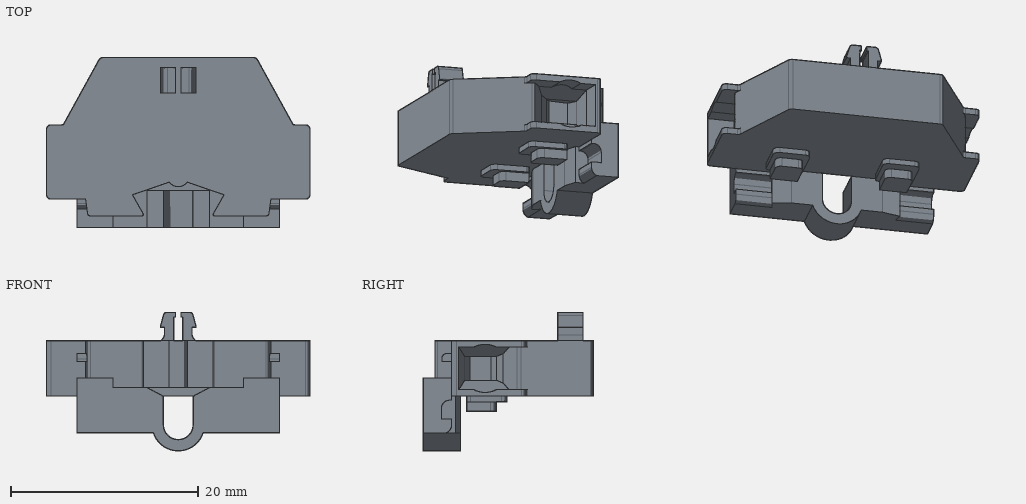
import cadquery as cq
import math


half_length = 14.1
housing_height = 5.95
rear_y = 18.2
rear_half_width = 8.34
shoulder_half_width = 12.3
shoulder_y = 11.0
end_front_y = 3.05
nose_root_half_width = 9.9
nose_tip_half_width = 9.66
nose_y = 1.27
corner_radius = 0.5
inner_corner_radius = 0.3
nose_tip_radius = 0.15

dovetail_mouth_half_width = 3.62
dovetail_half_width = 4.9
dovetail_y = 3.52
crest_half_width = 0.97
crest_y = 4.87
crest_bulge_y = 4.39
dovetail_floor_z = 0.93

mid_z = housing_height / 2
entry_half_height = 2.28
throat_half_height = 1.28
entry_front_y = 3.8
throat_front_y = 4.45
deep_front_y = 5.03
deep_rear_y = 7.28
throat_rear_y = 7.86
wall_bend_y = 8.56
post_y = 10.2
post_radius = 0.3
flange_clear_y = 11.6
cut_clearance = 1.0
entry_outer_x = half_length + cut_clearance
funnel_start_x = 11.25
wall_bend_x = 10.3
throat_x = 9.9
deep_front_x = 8.7
deep_rear_x = 9.1
bore_radius = 2.57
bore_y = 6.62

bar_half_length = 10.83
bar_depth = end_front_y
bar_bottom_z = -3.92
bar_top_z = dovetail_floor_z
ear_top_z = 1.95
ear_inner_x = 7.0
core_rear_y = 4.0
core_rear_half_width = 5.0
core_ridge_y = 3.47
core_ridge_half_width = 7.0
core_root_y = 1.5
core_root_half_width = 6.6
notch_floor_y = 1.95
notch_top_z = -0.42
notch_bottom_z = -2.45
notch_radius = 0.9
toe_radius = 0.95
toe_start_z = -3.05

slot_radius = 1.58
loop_radius = 2.8
loop_z = -3.05
flare_half_width = 3.36

peg_inner_x = nose_tip_half_width
peg_front_y = 2.0
peg_bottom_z = 3.72
peg_top_z = 4.58
peg_radius = 0.58

clip_front_y = 14.39
clip_rear_y = 17.1
clip_top_z = housing_height + 3.02
clip_gap = 0.46
clip_tip_gap = 0.29
clip_lip_height = 0.52
clip_neck_x = 1.48
clip_root_x = 1.88
clip_root_mid_x = 1.6
clip_neck_z = 6.55
clip_barb_x = 1.92
clip_barb_z = 7.37
clip_barb_tip_height = 0.08
clip_shoulder_x = 1.6
clip_shoulder_z = 8.62
clip_crown_x = 1.16

pad_inner_x = 4.0
pad_outer_x = 8.0
pad_front_y = 4.65
upper_pad_rear_y = 8.99
upper_pad_height = 0.6
lower_pad_rear_y = 7.82
lower_pad_inset = 0.5
pad_height = 1.62
pad_rear_radius = 0.6
pad_front_radius = 0.43


def mirrored(shape):
    return shape.union(shape.mirror("YZ"))


def both_sides(half_outline):
    return half_outline + [(-x, y) for x, y in reversed(half_outline)]


def box(x_range, y_range, z_range):
    sizes = [high - low for low, high in (x_range, y_range, z_range)]
    corner = cq.Vector(x_range[0], y_range[0], z_range[0])
    return cq.Workplane(cq.Solid.makeBox(*sizes, corner))


def xz_prism(outline, y_start, y_end):
    """Extrude a closed XZ outline from y_start to y_end."""
    return outline.extrude(y_start - y_end).translate((0, y_start, 0))


def upright_edges_at(shape, points, radius):
    """Round the upright edges that pass through the given XY points, on both sides of X = 0."""
    tolerance = 0.05
    height = 50
    selector = None
    for x, y in both_sides(points):
        here = cq.selectors.BoxSelector(
            (x - tolerance, y - tolerance, -height), (x + tolerance, y + tolerance, height)
        )
        selector = here if selector is None else selector + here
    return shape.edges("|Z").edges(selector).fillet(radius)


def make_housing():
    rear = (rear_half_width, rear_y)
    shoulder_inner = (shoulder_half_width, shoulder_y)
    shoulder_outer = (half_length, shoulder_y)
    end_front = (half_length, end_front_y)
    nose_root = (nose_root_half_width, end_front_y)
    nose_outer = (nose_tip_half_width, nose_y)
    nose_inner = (dovetail_mouth_half_width, nose_y)
    outline = [rear, shoulder_inner, shoulder_outer, end_front, nose_root, nose_outer]
    housing = cq.Workplane("XY").polyline(both_sides(outline)).close().extrude(housing_height)
    housing = upright_edges_at(housing, [rear, shoulder_outer, end_front], corner_radius)
    housing = upright_edges_at(housing, [shoulder_inner, nose_outer], inner_corner_radius)

    recess = (
        cq.Workplane("XY", origin=(0, 0, dovetail_floor_z))
        .polyline([
            (-crest_half_width, crest_y),
            (-dovetail_half_width, dovetail_y),
            (-dovetail_mouth_half_width, nose_y),
            (dovetail_mouth_half_width, nose_y),
            (dovetail_half_width, dovetail_y),
            (crest_half_width, crest_y),
        ])
        .threePointArc((0, crest_bulge_y), (-crest_half_width, crest_y))
        .close()
        .extrude(housing_height - dovetail_floor_z)
    )
    return upright_edges_at(housing.cut(recess), [nose_inner], nose_tip_radius)


def slanted_wall_x(y):
    """X of the slanted rear side wall at a given Y."""
    slope = (shoulder_half_width - rear_half_width) / (rear_y - shoulder_y)
    return shoulder_half_width + (shoulder_y - y) * slope


def make_wire_entry():
    """Cutter for the wire entry in the +X end."""
    post = (slanted_wall_x(post_y), post_y)
    plan = [
        (entry_outer_x, entry_front_y),
        (funnel_start_x, entry_front_y),
        (throat_x, throat_front_y),
        (deep_front_x, deep_front_y),
        (deep_rear_x, deep_rear_y),
        (throat_x, throat_rear_y),
        (wall_bend_x, wall_bend_y),
        post,
        (slanted_wall_x(flange_clear_y), flange_clear_y),
        (entry_outer_x, flange_clear_y),
    ]
    chamber = (
        cq.Workplane("XY", origin=(0, 0, mid_z - entry_half_height))
        .polyline(plan)
        .close()
        .extrude(2 * entry_half_height)
    )
    chamber = upright_edges_at(chamber, [post], post_radius)
    bore = (
        cq.Workplane("YZ", origin=(funnel_start_x, bore_y, mid_z))
        .circle(bore_radius)
        .extrude(entry_outer_x - funnel_start_x)
    )

    funnel_slope = (funnel_start_x - throat_x) / (entry_half_height - throat_half_height)
    mouth_x = throat_x + (mid_z - throat_half_height) * funnel_slope
    inner_x = deep_front_x - cut_clearance
    side = [
        (entry_outer_x, 0),
        (mouth_x, 0),
        (throat_x, mid_z - throat_half_height),
        (inner_x, mid_z - throat_half_height),
        (inner_x, mid_z + throat_half_height),
        (throat_x, mid_z + throat_half_height),
        (mouth_x, housing_height),
        (entry_outer_x, housing_height),
    ]
    envelope = xz_prism(cq.Workplane("XZ").polyline(side).close(), 0, rear_y)
    return chamber.union(bore).intersect(envelope)


def toe_point(angle):
    """Point (Y, Z) on the rounded toe of the hook, the angle measured from its upper end."""
    return (
        bar_depth - toe_radius * (1 - math.cos(angle)),
        toe_start_z - toe_radius * math.sin(angle),
    )


def make_clamp_bar():
    toe_angle = math.asin((toe_start_z - bar_bottom_z) / toe_radius)
    toe_bottom = toe_point(toe_angle)
    toe_mid = toe_point(toe_angle / 2)
    notch_offset = notch_radius * math.sin(math.pi / 4)
    hook = (
        cq.Workplane("YZ", origin=(-bar_half_length, 0, 0))
        .moveTo(0, bar_bottom_z)
        .lineTo(0, ear_top_z)
        .lineTo(bar_depth, ear_top_z)
        .lineTo(bar_depth, notch_top_z)
        .lineTo(notch_floor_y + notch_radius, notch_top_z)
        .threePointArc(
            (notch_floor_y + notch_radius - notch_offset, notch_top_z - notch_radius + notch_offset),
            (notch_floor_y, notch_top_z - notch_radius),
        )
        .lineTo(notch_floor_y, notch_bottom_z)
        .lineTo(bar_depth, notch_bottom_z)
        .lineTo(bar_depth, toe_start_z)
        .threePointArc(toe_mid, toe_bottom)
        .close()
        .extrude(2 * bar_half_length)
    )
    core_plan = [
        (core_root_half_width, 0),
        (core_root_half_width, core_root_y),
        (core_ridge_half_width, core_ridge_y),
        (core_rear_half_width, core_rear_y),
    ]
    core = (
        cq.Workplane("XY", origin=(0, 0, bar_bottom_z))
        .polyline(both_sides(core_plan))
        .close()
        .extrude(bar_top_z - bar_bottom_z)
    )
    loop = xz_prism(cq.Workplane("XZ").center(0, loop_z).circle(loop_radius), 0, core_rear_y)
    middle_step = box((-ear_inner_x, ear_inner_x), (0, core_rear_y), (bar_top_z, ear_top_z))
    return hook.cut(middle_step).union(core).union(loop)


def make_slot():
    """Cutter for the round-bottomed slot that flares out at the top of the clamp bar."""
    outline = (
        cq.Workplane("XZ")
        .moveTo(-slot_radius, loop_z)
        .threePointArc((0, loop_z - slot_radius), (slot_radius, loop_z))
        .lineTo(slot_radius, 0)
        .lineTo(flare_half_width, bar_top_z)
        .lineTo(-flare_half_width, bar_top_z)
        .lineTo(-slot_radius, 0)
        .close()
    )
    return xz_prism(outline, 0, core_rear_y)


def make_pegs():
    peg = box((peg_inner_x, bar_half_length), (peg_front_y, end_front_y), (peg_bottom_z, peg_top_z))
    return mirrored(peg.edges("|X and >Z and <Y").fillet(peg_radius))


def make_clip():
    root_mid = (clip_root_mid_x, (housing_height + clip_neck_z) / 2)
    crown_mid = (
        clip_crown_x + (clip_shoulder_x - clip_crown_x) * math.sin(math.pi / 4),
        clip_shoulder_z + (clip_top_z - clip_shoulder_z) * math.sin(math.pi / 4),
    )
    prong_outline = (
        cq.Workplane("XZ")
        .moveTo(clip_gap, housing_height)
        .lineTo(clip_root_x, housing_height)
        .threePointArc(root_mid, (clip_neck_x, clip_neck_z))
        .lineTo(clip_neck_x, clip_barb_z)
        .lineTo(clip_barb_x, clip_barb_z)
        .lineTo(clip_barb_x, clip_barb_z + clip_barb_tip_height)
        .lineTo(clip_shoulder_x, clip_shoulder_z)
        .threePointArc(crown_mid, (clip_crown_x, clip_top_z))
        .lineTo(clip_tip_gap, clip_top_z)
        .lineTo(clip_tip_gap, clip_top_z - clip_lip_height)
        .lineTo(clip_gap, clip_top_z - clip_lip_height)
        .close()
    )
    return mirrored(xz_prism(prong_outline, clip_front_y, clip_rear_y))


def make_pads():
    upper = box((pad_inner_x, pad_outer_x), (pad_front_y, upper_pad_rear_y), (-upper_pad_height, 0))
    upper = upper.edges("|Z and >Y").fillet(pad_rear_radius)
    upper = upper.edges("|Z and <Y").fillet(pad_front_radius)
    lower_across = (pad_inner_x + lower_pad_inset, pad_outer_x - lower_pad_inset)
    lower = box(lower_across, (pad_front_y, lower_pad_rear_y), (-pad_height, -upper_pad_height))
    lower = lower.edges("|Z and >Y").fillet(pad_rear_radius)
    return mirrored(upper.union(lower))


housing = make_housing().cut(mirrored(make_wire_entry()))
result = (
    housing
    .union(make_clamp_bar())
    .cut(make_slot())
    .union(make_pegs())
    .union(make_clip())
    .union(make_pads())
)